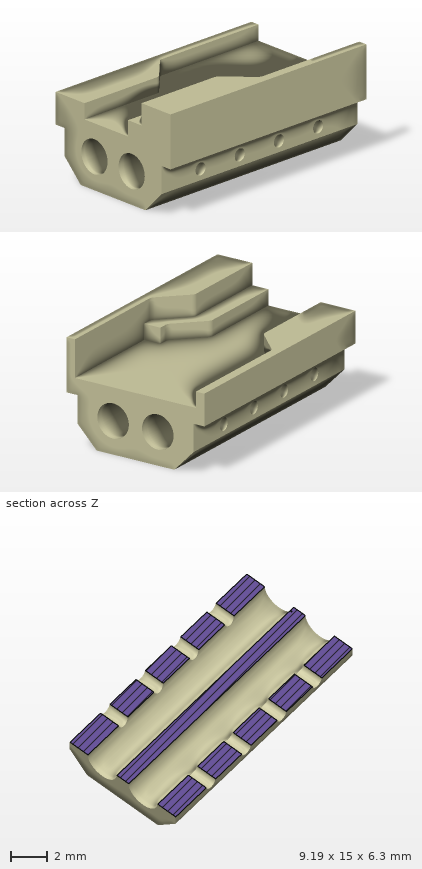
import cadquery as cq

WIDTH = 9.19
LENGTH = 15.0
HEIGHT = 6.3
FRONT_Y = -LENGTH / 2
BACK_Y = LENGTH / 2

KEEL_WIDTH = 7.74
BEVEL_WIDTH = 1.28
BEVEL_HEIGHT = 1.33
FLANGE_Z = 3.02
FLOOR_Z = 4.0
LOW_WALL_Z = 4.97

NARROW_HALF_WIDTH = 2.28
WIDE_HALF_WIDTH = 4.03
SHELF_WIDTH = 1.08
SHELF_LENGTH = 8.13
FLARE = WIDE_HALF_WIDTH - NARROW_HALF_WIDTH
FLARE_START_Y = FRONT_Y + 5.7
FLARE_END_Y = FLARE_START_Y + FLARE
FLARE_RADIUS = 0.42

BORE_DIAMETER = 2.1
BORE_SPACING = 2.98
BORE_Z = 2.0
SIDE_HOLE_DIAMETER = 0.77
SIDE_HOLE_COUNT = 4
SIDE_HOLE_PITCH = LENGTH / (SIDE_HOLE_COUNT + 1)


def make_blank():
    """Full-height bar with side flanges above a bevelled keel."""
    half_width = WIDTH / 2
    half_keel = KEEL_WIDTH / 2
    half_base = half_keel - BEVEL_WIDTH
    outline = [
        (-half_base, 0),
        (half_base, 0),
        (half_keel, BEVEL_HEIGHT),
        (half_keel, FLANGE_Z),
        (half_width, FLANGE_Z),
        (half_width, HEIGHT),
        (-half_width, HEIGHT),
        (-half_width, FLANGE_Z),
        (-half_keel, FLANGE_Z),
        (-half_keel, BEVEL_HEIGHT),
    ]
    return cq.Workplane("XZ", origin=(0, BACK_Y, 0)).polyline(outline).close().extrude(LENGTH)


def make_channel(right_inset):
    """Flared channel cutter from the floor up, its right wall moved in by right_inset."""
    narrow_right = NARROW_HALF_WIDTH - right_inset
    wide_right = WIDE_HALF_WIDTH - right_inset
    outline = [
        (-NARROW_HALF_WIDTH, FRONT_Y),
        (narrow_right, FRONT_Y),
        (narrow_right, FLARE_START_Y),
        (wide_right, FLARE_END_Y),
        (wide_right, BACK_Y),
        (-WIDE_HALF_WIDTH, BACK_Y),
        (-WIDE_HALF_WIDTH, FLARE_END_Y),
        (-NARROW_HALF_WIDTH, FLARE_START_Y),
    ]
    cutter = (
        cq.Workplane("XY", origin=(0, 0, FLOOR_Z))
        .polyline(outline)
        .close()
        .extrude(HEIGHT - FLOOR_Z)
    )
    bend_margin = FLARE / 2
    bends = cq.selectors.BoxSelector(
        (-WIDTH, FLARE_START_Y - bend_margin, FLOOR_Z),
        (WIDTH, FLARE_END_Y + bend_margin, HEIGHT),
    )
    return cutter.edges("|Z").edges(bends).fillet(FLARE_RADIUS)


def box_between(low_corner, high_corner):
    """Axis-aligned box spanning two opposite corners."""
    size = [high - low for low, high in zip(low_corner, high_corner)]
    return cq.Workplane("XY").box(*size, centered=False).translate(low_corner)


def cut_channel(body):
    """Cut the channel, leaving the shelf along the front of the right wall."""
    full_channel = make_channel(0)
    shelf_end_y = FRONT_Y + SHELF_LENGTH
    above_shelf = box_between((-WIDTH, FRONT_Y, LOW_WALL_Z), (WIDTH, BACK_Y, HEIGHT))
    behind_shelf = box_between((-WIDTH, shelf_end_y, FLOOR_Z), (WIDTH, BACK_Y, HEIGHT))
    body = body.cut(make_channel(SHELF_WIDTH))
    body = body.cut(full_channel.intersect(above_shelf))
    return body.cut(full_channel.intersect(behind_shelf))


def lower_left_wall(body):
    """Trim the left wall down to the level of the shelf."""
    return body.cut(box_between((-WIDTH / 2, FRONT_Y, LOW_WALL_Z), (0, BACK_Y, HEIGHT)))


def cut_bores(body):
    """Two bores running the full length."""
    bores = (
        cq.Workplane("XZ", origin=(0, BACK_Y, BORE_Z))
        .rarray(BORE_SPACING, 1, 2, 1)
        .circle(BORE_DIAMETER / 2)
        .extrude(LENGTH)
    )
    return body.cut(bores)


def cut_side_holes(body):
    """A row of holes from each side of the keel to the axis of the nearer bore."""
    depth = (KEEL_WIDTH - BORE_SPACING) / 2
    left_row = (
        cq.Workplane("YZ", origin=(-KEEL_WIDTH / 2, 0, BORE_Z))
        .rarray(SIDE_HOLE_PITCH, 1, SIDE_HOLE_COUNT, 1)
        .circle(SIDE_HOLE_DIAMETER / 2)
        .extrude(depth)
    )
    return body.cut(left_row).cut(left_row.mirror("YZ"))


result = make_blank()
result = cut_channel(result)
result = lower_left_wall(result)
result = cut_bores(result)
result = cut_side_holes(result)